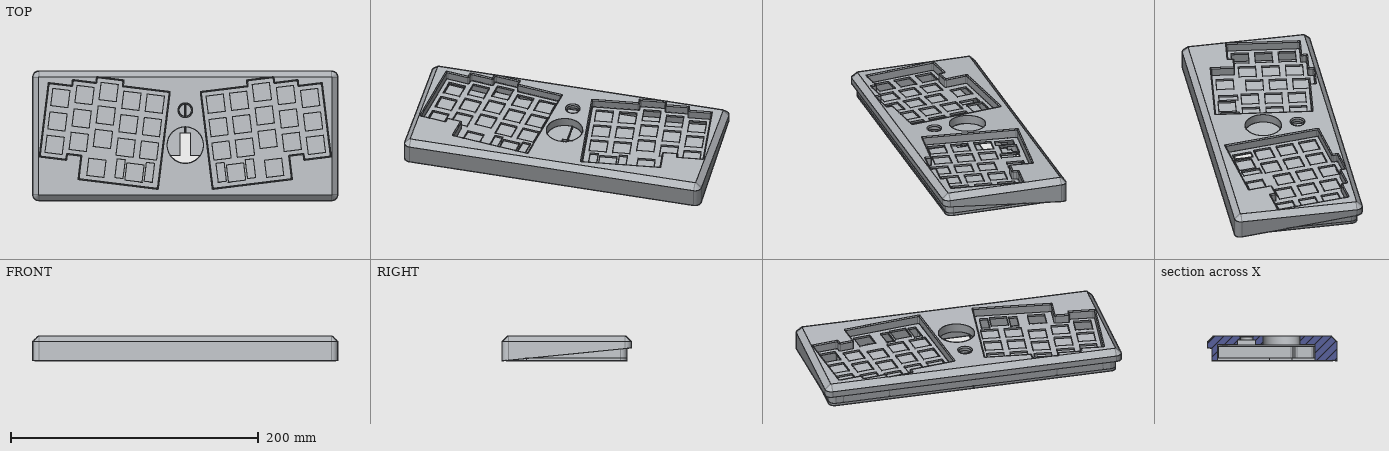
import cadquery as cq
length = 246.5
depth = 104.7
height = 20.2
corner_radius = 5.2
top_chamfer = 4.7

under_slope = 0.1
foot_inset = 3.7
foot_corner_radius = 5.2
foot_length = length - 2 * foot_inset
foot_depth = depth - 2 * foot_inset
under_rise = depth * under_slope

roof_thickness = 7.27
plate_thickness = 1.5
cover_thickness = 2.2
roof_underside = height - roof_thickness

key_pitch = 19.05
key_opening = 14.0
cluster_angle = 7.0
cluster_x = -100.8
cluster_y = 30.5
stagger = key_pitch / 4
column_offsets = [0, stagger, 2 * stagger, stagger, stagger]
rows_per_column = 3
half_key = key_pitch / 2
thumb_row = stagger - rows_per_column * key_pitch
narrow_thumb_x = 1.875 * key_pitch
narrow_thumb_width = 1.25 * key_pitch
wide_thumb_x = 3.5 * key_pitch

slot_width = 6.7
slot_length = 15.3
slot_spread = 11.9
slot_shift = 1.65

well_clearance = 0.86
well_chamfer = 0.86
well_corner_radius = 1.04
cavity_back_relief = 1.0

bay_length = 125.7
bay_back = 44.0
bay_front = -34.5

dial_diameter = 29.3
dial_y = -7.5
button_diameter = 9.9
button_y = 20.7
button_chamfer = 1.0
button_recess_width = 14.3
button_roof_thickness = 3.5

cover_gap = 0.7
cover_front = -37.7
window_length = 34.5
window_back = -16.0
notch_length = 8.1
notch_back = 2.2

outer_edge = -half_key - well_clearance
inner_edge = wide_thumb_x + key_pitch + well_clearance
second_column_edge = half_key - well_clearance
third_column_edge = key_pitch + half_key - well_clearance
fourth_column_edge = 2 * key_pitch + half_key + well_clearance
first_column_inner_edge = half_key + well_clearance
narrow_thumb_edge = narrow_thumb_x - narrow_thumb_width / 2 - well_clearance
first_back = half_key + well_clearance
second_back = first_back + stagger
third_back = second_back + stagger
first_front = -(rows_per_column - 1) * key_pitch - half_key - well_clearance
second_front = first_front + stagger
thumb_front = thumb_row - half_key - well_clearance

well_points = [
    (outer_edge, first_back),
    (second_column_edge, first_back),
    (second_column_edge, second_back),
    (third_column_edge, second_back),
    (third_column_edge, third_back),
    (fourth_column_edge, third_back),
    (fourth_column_edge, second_back),
    (inner_edge, second_back),
    (inner_edge, thumb_front),
    (narrow_thumb_edge, thumb_front),
    (narrow_thumb_edge, second_front),
    (first_column_inner_edge, second_front),
    (first_column_inner_edge, first_front),
    (outer_edge, first_front),
]

cavity_points = [
    (outer_edge, second_back + cavity_back_relief),
    (third_column_edge, second_back + cavity_back_relief),
    (third_column_edge, third_back + cavity_back_relief),
    (fourth_column_edge, third_back + cavity_back_relief),
    (fourth_column_edge, second_back + cavity_back_relief),
    (inner_edge, second_back + cavity_back_relief),
    (inner_edge, thumb_front),
    (first_column_inner_edge, thumb_front),
    (first_column_inner_edge, first_front),
    (outer_edge, first_front),
]


def place_cluster(shape, mirrored):
    """Turn and move a shape from the key grid to the left or the right cluster."""
    placed = shape.rotate((0, 0, 0), (0, 0, 1), -cluster_angle).translate((cluster_x, cluster_y, 0))
    return placed.mirror("YZ") if mirrored else placed


def stepped_prism(points, bottom, top):
    """Upright prism on a stepped outline with rounded corners."""
    prism = cq.Workplane("XY").workplane(offset=bottom).polyline(points).close().extrude(top - bottom)
    return prism.edges("|Z").fillet(well_corner_radius)


def block(size_x, front, back, bottom, top):
    """Box centred on X, given by its front and back along Y and its levels."""
    box = cq.Workplane("XY").box(size_x, back - front, top - bottom, centered=(True, False, False))
    return box.translate((0, front, bottom))


def rounded_block(size_x, front, back, top, radius):
    """Box standing on the ground, with rounded upright edges."""
    return block(size_x, front, back, 0, top).edges("|Z").fillet(radius)


def make_shell():
    """Chamfered block whose underside slopes up to the back around an inset foot."""
    shell = rounded_block(length, -depth / 2, depth / 2, height, corner_radius)
    shell = shell.faces(">Z").chamfer(top_chamfer)
    under_wedge = (
        cq.Workplane("YZ")
        .polyline([(-depth / 2, 0), (depth / 2, 0), (depth / 2, under_rise)])
        .close()
        .extrude(length / 2, both=True)
    )
    foot = rounded_block(foot_length, -foot_depth / 2, foot_depth / 2, under_rise, foot_corner_radius)
    return shell.cut(under_wedge.cut(foot))


def make_well_cutter():
    """Key well through the roof, the rim chamfer around it and the cavity under it."""
    well = stepped_prism(well_points, roof_underside, height)
    rim = (
        cq.Workplane("XY")
        .workplane(offset=height)
        .polyline(well_points)
        .close()
        .offset2D(well_chamfer, "arc")
        .extrude(-well_chamfer, taper=45)
    )
    cavity = stepped_prism(cavity_points, 0, roof_underside)
    return well.union(rim).union(cavity)


def make_button_cutter():
    """Chamfered button hole with a square recess under a thinner roof."""
    hole_radius = button_diameter / 2
    hole = cq.Workplane("XY").circle(hole_radius).extrude(height)
    rim = (
        cq.Workplane("XY")
        .workplane(offset=height)
        .circle(hole_radius + button_chamfer)
        .extrude(-button_chamfer, taper=45)
    )
    recess = cq.Workplane("XY").rect(button_recess_width, button_recess_width)
    recess = recess.extrude(height - button_roof_thickness)
    return hole.union(rim).union(recess).translate((0, button_y, 0))


def make_case(covers):
    case = make_shell()
    for mirrored in (False, True):
        case = case.cut(place_cluster(make_well_cutter(), mirrored))
    case = case.cut(block(bay_length, bay_front, bay_back, 0, roof_underside))
    dial_hole = cq.Workplane("XY").center(0, dial_y).circle(dial_diameter / 2).extrude(height)
    case = case.cut(dial_hole).cut(make_button_cutter())
    for cover in covers:
        case = case.cut(cover)
    return case


def make_plate(mirrored):
    """Switch plate under the roof, with the key openings and stabilizer slots."""
    plate_bottom = roof_underside - plate_thickness
    key_centres = [
        (column * key_pitch, offset - row * key_pitch)
        for column, offset in enumerate(column_offsets)
        for row in range(rows_per_column)
    ]
    key_centres += [(narrow_thumb_x, thumb_row), (wide_thumb_x, thumb_row)]
    slot_centres = [(wide_thumb_x + side * slot_spread, thumb_row + slot_shift) for side in (-1, 1)]

    plate = stepped_prism(cavity_points, plate_bottom, roof_underside)
    keys = cq.Workplane("XY").pushPoints(key_centres).rect(key_opening, key_opening).extrude(height)
    slots = cq.Workplane("XY").pushPoints(slot_centres).rect(slot_width, slot_length).extrude(height)
    return place_cluster(plate.cut(keys).cut(slots), mirrored)


def make_cover(mirrored):
    """One half of the bottom, let into the foot and notched at the middle."""
    cover = rounded_block(foot_length, cover_front, foot_depth / 2, cover_thickness, foot_corner_radius)
    cover = cover.cut(block(window_length, cover_front, window_back, 0, cover_thickness))
    cover = cover.cut(block(notch_length, cover_front, notch_back, 0, cover_thickness))
    left_half = block(length, -depth / 2, depth / 2, 0, height).translate((-(length + cover_gap) / 2, 0, 0))
    cover = cover.intersect(left_half)
    return cover.mirror("YZ") if mirrored else cover


covers = [make_cover(mirrored) for mirrored in (False, True)]
plates = [make_plate(mirrored) for mirrored in (False, True)]
case = make_case(covers)

result = cq.Compound.makeCompound(
    [case.val(), *[plate.val() for plate in plates], *[cover.val() for cover in covers]]
)